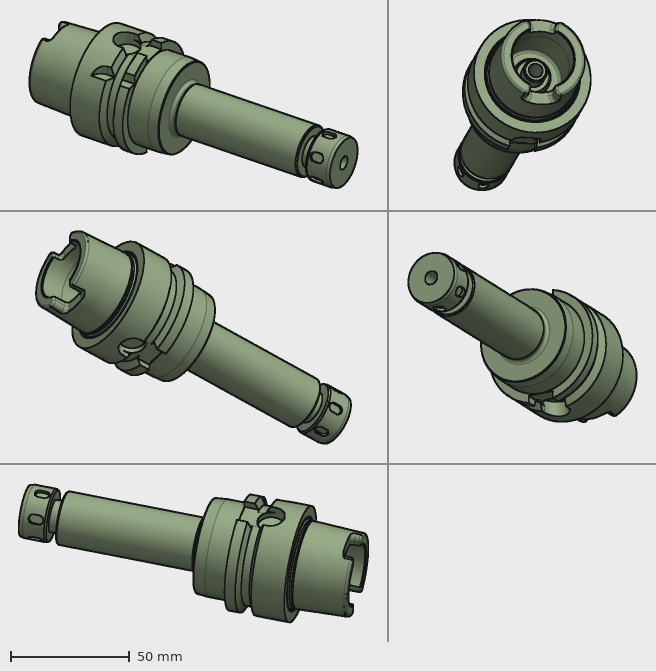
import cadquery as cq
import math


shank_tip_radius = 18.0
shank_base_radius = 19.0
shank_mouth_round = 1.0
taper_end_x = 22.9
relief_radius = 18.7
relief_start_x = 23.6
relief_end_x = 24.5
face_recess_radius = 20.5
face_recess_floor_outer = 20.0
face_recess_floor_inner = 19.5
face_recess_depth = 0.5

flange_radius = 50.0 / 2
flange_start_x = 25.0
flange_end_x = 51.0
groove_radius = 21.6
groove_start_x = 39.5
groove_end_x = 46.4
groove_wall_run = 1.7

collar_radius = 21.0
collar_step_x = 60.9
collar_end_x = 66.1
collar_end_radius = 20.6
collar_chamfer = 0.3

neck_radius = 11.3
neck_round = 1.5
neck_end_x = 68.6
shaft_radius = 23.0 / 2
shaft_start_x = 69.0
shaft_end_x = 128.8
shaft_chamfer = 0.6
collet_neck_radius = 14.0 / 2
nut_start_x = 133.0
nut_radius = shaft_radius
nut_back_chamfer_length = 0.9
nut_back_chamfer_drop = 0.5
nut_front_chamfer_length = 1.7
nut_front_chamfer_drop = 0.5
total_length = 145.0

cup_radius = 26.0 / 2
cup_mouth_chamfer = 0.5
cup_guide_radius = 13.2
cup_guide_depth = 10.2
cup_floor_round = 1.3
cup_floor_x = 29.0
inner_nut_radius = 8.0
inner_nut_top_x = 24.6
inner_nut_chamfer = 0.9
tube_radius = 10.0 / 2
tube_tip_x = 17.4
tube_chamfer = 0.6
through_radius = 6.0 / 2

drive_slot_half_width = 5.4
drive_slot_shoulder_z = 16.2
drive_slot_shoulder_round = 2.2
drive_slot_floor_round = 1.7
upper_slot_depth = 4.6
lower_slot_depth = 7.5

cutter_radius = 5.8
cutter_center_x = 37.7
keyway_half_width = cutter_radius
keyway_floor_z = 21.2
pocket_floor_z = 18.4

notch_wall_y = -15.4
notch_floor_z = 15.5

wrench_slot_count = 6
wrench_slot_start_x = 134.5
wrench_slot_length = 6.4
wrench_slot_width = 4.0
wrench_slot_depth = 1.5

cutter_clearance = 1.5

edge_match = 0.01


def revolve_about_x(points):
    """Turn a closed (x, radius) outline about the X axis."""
    return cq.Workplane("XY").polyline(points).close().revolve(360, (0, 0, 0), (1, 0, 0))


def outer_body():
    """Turned outside of the holder, solid to the axis."""
    return revolve_about_x([
        (0, 0),
        (0, shank_tip_radius),
        (taper_end_x, shank_base_radius),
        (relief_start_x, relief_radius),
        (relief_end_x, relief_radius),
        (flange_start_x + face_recess_depth, face_recess_floor_inner),
        (flange_start_x + face_recess_depth, face_recess_floor_outer),
        (flange_start_x, face_recess_radius),
        (flange_start_x, flange_radius),
        (groove_start_x, flange_radius),
        (groove_start_x + groove_wall_run, groove_radius),
        (groove_end_x - groove_wall_run, groove_radius),
        (groove_end_x, flange_radius),
        (flange_end_x, flange_radius),
        (flange_end_x, collar_radius),
        (collar_step_x, collar_radius),
        (collar_end_x - collar_chamfer, collar_end_radius),
        (collar_end_x, collar_end_radius - collar_chamfer),
        (collar_end_x, neck_radius),
        (neck_end_x, neck_radius),
        (shaft_start_x, shaft_radius),
        (shaft_end_x - shaft_chamfer, shaft_radius),
        (shaft_end_x, shaft_radius - shaft_chamfer),
        (shaft_end_x, collet_neck_radius),
        (nut_start_x, collet_neck_radius),
        (nut_start_x, nut_radius - nut_back_chamfer_drop),
        (nut_start_x + nut_back_chamfer_length, nut_radius),
        (total_length - nut_front_chamfer_length, nut_radius),
        (total_length, nut_radius - nut_front_chamfer_drop),
        (total_length, 0),
    ])


def inner_bore():
    """Cutter for the cup and through hole, leaving the inner nut and tube standing."""
    return revolve_about_x([
        (0, 0),
        (0, cup_guide_radius + cup_mouth_chamfer),
        (cup_mouth_chamfer, cup_guide_radius),
        (cup_guide_depth, cup_radius),
        (cup_floor_x, cup_radius),
        (cup_floor_x, inner_nut_radius),
        (inner_nut_top_x + inner_nut_chamfer, inner_nut_radius),
        (inner_nut_top_x, inner_nut_radius - inner_nut_chamfer),
        (inner_nut_top_x, tube_radius),
        (tube_tip_x + tube_chamfer, tube_radius),
        (tube_tip_x, tube_radius - tube_chamfer),
        (tube_tip_x, through_radius),
        (total_length, through_radius),
        (total_length, 0),
    ])


def drive_slot(depth, side):
    """Cutter for one drive slot; side is +1 for the upper slot and -1 for the lower."""
    reach = shank_base_radius + cutter_clearance
    half = drive_slot_half_width
    bend = drive_slot_shoulder_round
    flare = half + bend
    shoulder = side * drive_slot_shoulder_z
    bend_start = side * (drive_slot_shoulder_z - bend)
    arc_middle_inset = bend * (1 - math.cos(math.radians(45)))
    mid_y = half + arc_middle_inset
    mid_z = side * (drive_slot_shoulder_z - arc_middle_inset)
    return (
        cq.Workplane("YZ")
        .moveTo(-half, 0)
        .lineTo(half, 0)
        .lineTo(half, bend_start)
        .threePointArc((mid_y, mid_z), (flare, shoulder))
        .lineTo(reach, shoulder)
        .lineTo(reach, side * reach)
        .lineTo(-reach, side * reach)
        .lineTo(-reach, shoulder)
        .lineTo(-flare, shoulder)
        .threePointArc((-mid_y, mid_z), (-half, bend_start))
        .close()
        .extrude(depth)
        .faces(">X").edges().fillet(drive_slot_floor_round)
    )


def keyway():
    """Cutter for the upper keyway with the round pocket at its closed end."""
    height = flange_radius - keyway_floor_z + cutter_clearance
    channel = (
        cq.Workplane("XY", origin=(cutter_center_x, 0, keyway_floor_z))
        .rect(flange_end_x - cutter_center_x, 2 * keyway_half_width, centered=(False, True))
        .extrude(height)
    )
    pocket = (
        cq.Workplane("XY", origin=(cutter_center_x, 0, pocket_floor_z))
        .circle(cutter_radius)
        .extrude(height + keyway_floor_z - pocket_floor_z)
    )
    return channel.union(pocket)


def orientation_notch():
    """Cutter for the open notch: an L-shaped step with a round closed end."""
    height = flange_radius - notch_floor_z
    path_y = notch_wall_y - cutter_radius
    round_end = (
        cq.Workplane("XY", origin=(cutter_center_x, path_y, notch_floor_z))
        .circle(cutter_radius)
        .extrude(height)
    )
    run = (
        cq.Workplane("XY", origin=(cutter_center_x, path_y, notch_floor_z))
        .rect(flange_end_x - cutter_center_x, 2 * cutter_radius, centered=(False, True))
        .extrude(height)
    )
    return round_end.union(run)


def wrench_slots():
    """Cutters spaced evenly around the nut, starting at the top."""
    center_x = wrench_slot_start_x + wrench_slot_length / 2
    slot = (
        cq.Workplane("XY", origin=(center_x, 0, nut_radius - wrench_slot_depth))
        .slot2D(wrench_slot_length, wrench_slot_width)
        .extrude(2 * wrench_slot_depth)
    )
    step = 360 / wrench_slot_count
    return [slot.rotate((0, 0, 0), (1, 0, 0), index * step) for index in range(wrench_slot_count)]


def round_edge_circle(body, x, radius, fillet_radius):
    """Fillet the full circular edge of the given radius lying at the given x."""
    circle = [
        edge for edge in body.edges("%CIRCLE").vals()
        if abs(edge.Center().x - x) < edge_match and abs(edge.radius() - radius) < edge_match
    ]
    return body.newObject(circle).fillet(fillet_radius)


body = round_edge_circle(outer_body(), collar_end_x, neck_radius, neck_round)
body = body.cut(drive_slot(upper_slot_depth, 1))
body = body.cut(drive_slot(lower_slot_depth, -1))
body = body.faces("<X").edges().fillet(shank_mouth_round)
body = body.cut(round_edge_circle(inner_bore(), cup_floor_x, cup_radius, cup_floor_round))
body = body.cut(keyway())
body = body.cut(keyway().mirror("XY"))
body = body.cut(orientation_notch())
for slot in wrench_slots():
    body = body.cut(slot)

result = body